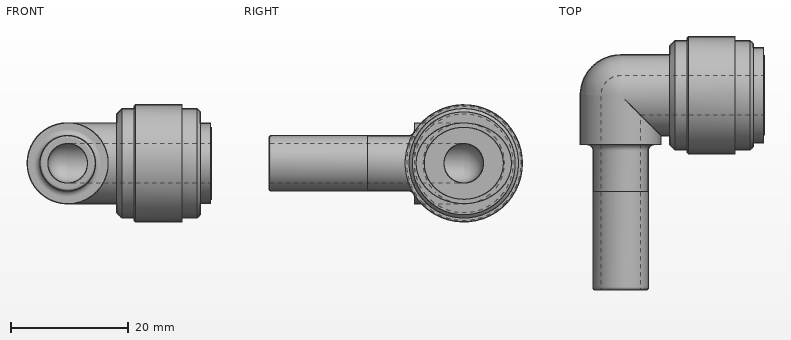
import cadquery as cq


overall_length = 43.2

elbow_radius = 6.9
elbow_leg = 8.42

stem_step = 16.4
stem_radius = 4.75
stem_neck_radius = 4.7
stem_root_fillet = 1.05
stem_tip_fillet = 0.45

socket_radius = 9.35
socket_start = 8.35
socket_end = 22.65
socket_back_chamfer = 0.9
socket_front_chamfer = 0.55
band_diameter = 20.0
band_radius = band_diameter / 2
band_start = 11.3
band_end = 19.53
band_chamfer = 0.25

stem_end = overall_length - band_radius

collet_half_width = 8.1
collet_half_height = 6.85
collet_face = 24.35
collet_end = 24.5
lip_half_width = 6.75
lip_half_height = 6.15

bore_radius = 3.35


def x_cylinder(radius, start, end):
    """Round bar along X between two distances from the bend centre."""
    return cq.Workplane("YZ").workplane(offset=start).circle(radius).extrude(end - start)


def y_cylinder(radius, start, end):
    """Round bar along -Y between two distances from the bend centre."""
    return cq.Workplane("XZ").workplane(offset=start).circle(radius).extrude(end - start)


def bend(radius, x_end, y_end):
    """Two round legs meeting at a right angle with a spherical outer corner."""
    corner = cq.Workplane("XY").sphere(radius)
    return corner.union(x_cylinder(radius, 0, x_end)).union(y_cylinder(radius, 0, y_end))


def make_stem():
    neck = y_cylinder(stem_neck_radius, 0, stem_step)
    tube = y_cylinder(stem_radius, stem_step, stem_end).faces("<Y").edges().fillet(stem_tip_fillet)
    return neck.union(tube)


def make_root_fillet():
    """Concave flare where the stem leaves the elbow, as a ring turned about Y."""
    flare_end = elbow_leg + stem_root_fillet
    flare_radius = stem_neck_radius + stem_root_fillet
    sag = stem_root_fillet * (1 - 0.5 ** 0.5)
    return (
        cq.Workplane("XY")
        .moveTo(0, -elbow_leg)
        .lineTo(flare_radius, -elbow_leg)
        .threePointArc(
            (stem_neck_radius + sag, -elbow_leg - sag),
            (stem_neck_radius, -flare_end),
        )
        .lineTo(0, -flare_end)
        .close()
        .revolve(360, (0, 0, 0), (0, 1, 0))
    )


def make_socket():
    shell = x_cylinder(socket_radius, socket_start, socket_end)
    shell = shell.faces("<X").edges().chamfer(socket_back_chamfer)
    shell = shell.faces(">X").edges().chamfer(socket_front_chamfer)
    band = x_cylinder(band_radius, band_start, band_end).faces("<X").edges().chamfer(band_chamfer)
    return shell.union(band)


def x_oval(half_width, half_height, start, end):
    """Oval bar along X, with its width along Y and its height along Z."""
    plane = cq.Workplane("YZ").workplane(offset=start)
    return plane.ellipse(half_width, half_height).extrude(end - start)


def make_collet():
    sleeve = x_oval(collet_half_width, collet_half_height, socket_end, collet_face)
    lip = x_oval(lip_half_width, lip_half_height, collet_face, collet_end)
    return sleeve.union(lip)



body = bend(elbow_radius, socket_start, elbow_leg)
for section in (make_stem(), make_root_fillet(), make_socket(), make_collet()):
    body = body.union(section)

result = body.cut(bend(bore_radius, collet_end, stem_end))